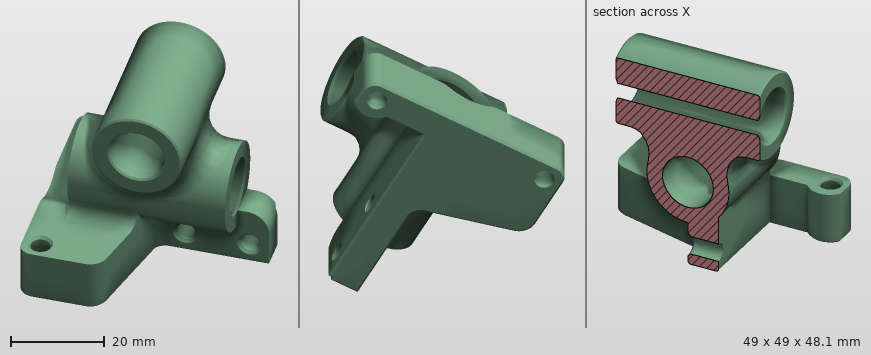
import cadquery as cq
import math

tube_radius = 10.0
tube_length = 35.0
bore_diameter = 12.2
bore_mouth_diameter = 13.0
tube_overlap = 2.0
tube_end_chamfer = 0.4
tube_blend_radius = 6.0
tube_half = tube_length / 2
lower_axis_z = 20.1
upper_axis_z = lower_axis_z + 2 * tube_radius - tube_overlap

base_size = 49.0
base_half = base_size / 2
base_height = 12.0
corner_radius = 3.0
bottom_chamfer = 0.5
slant_angle = 14.5
slant_foot_x = 0.0
slant_corner_radius = 4.0
slant_root_radius = 3.0

flange_thickness = 7.5
flange_top_z = 13.6
flange_corner_radius = 5.0
flange_notch_x = 0.65
flange_notch_y = 1.0

hole_inset = 4.0
lobe_radius = 5.0
vertical_hole_diameter = 4.3
flange_hole_diameter = 4.2
hole_mouth_diameter = 5.5
flange_hole_z = 4.75
flange_hole_middle_x = 13.0
flange_hole_spacing = 14.3

saddle_edge_radius = 4.0
web_radius = 3.0


def plan_outline_block(height):
    """Extrude the base outline, without the hole lobe, from Z = 0."""
    slant_shift = base_half * math.tan(math.radians(slant_angle))
    outline = [
        (-base_half, -base_half),
        (slant_foot_x - slant_shift, -base_half),
        (slant_foot_x, 0),
        (base_half, 0),
        (base_half, flange_thickness),
        (-tube_half, flange_thickness),
        (-tube_half, base_half),
        (-base_half, base_half),
    ]

    def round_corner(block, x, y, radius):
        near = 0.01
        corner = cq.selectors.BoxSelector(
            (x - near, y - near, -near), (x + near, y + near, height + near)
        )
        return block.edges("|Z").edges(corner).fillet(radius)

    block = cq.Workplane("XY").polyline(outline).close().extrude(height)
    block = round_corner(block, *outline[0], corner_radius)
    block = round_corner(block, *outline[1], slant_corner_radius)
    block = round_corner(block, *outline[2], slant_root_radius)
    return round_corner(block, *outline[-1], corner_radius)


def make_base():
    """Base block and flange, chamfered around the bottom."""
    hole_x = -base_half + hole_inset
    hole_y = base_half - hole_inset
    lobe = cq.Workplane("XY").center(hole_x, hole_y).circle(lobe_radius).extrude(base_height)
    lobe_limit = (
        cq.Workplane("XY")
        .box(lobe_radius, lobe_radius + hole_inset, base_height, centered=False)
        .translate((hole_x, hole_y - lobe_radius, 0))
    )
    block = plan_outline_block(base_height).union(lobe.intersect(lobe_limit))

    flange = (
        cq.Workplane("XY")
        .box(base_half + tube_half, flange_thickness, flange_top_z, centered=False)
        .translate((-tube_half, 0, 0))
    )
    base = block.union(flange)
    base = base.faces(">X").edges(">Z").fillet(flange_corner_radius)
    notch = (
        cq.Workplane("XY")
        .box(flange_notch_x, flange_notch_y, flange_top_z, centered=False)
        .translate((base_half - flange_notch_x, flange_thickness - flange_notch_y, 0))
    )
    return base.cut(notch).faces("<Z").edges().chamfer(bottom_chamfer)


def cut_saddle(base):
    """Cut the tube clearance into the side bar, with rounded upper edges."""
    drop = lower_axis_z - base_height
    edge_y = math.sqrt((tube_radius + saddle_edge_radius) ** 2 - (drop + saddle_edge_radius) ** 2)
    reach = tube_radius / (tube_radius + saddle_edge_radius)
    tangent_y = edge_y * reach
    tangent_z = lower_axis_z - (drop + saddle_edge_radius) * reach
    saddle = (
        cq.Workplane("YZ", origin=(-base_half, 0, 0))
        .moveTo(-edge_y, base_height)
        .radiusArc((-tangent_y, tangent_z), saddle_edge_radius)
        .threePointArc((0, lower_axis_z - tube_radius), (tangent_y, tangent_z))
        .radiusArc((edge_y, base_height), saddle_edge_radius)
        .close()
        .extrude(base_half - tube_half)
    )
    return base.cut(saddle)


def make_web():
    """Web on the -Y side, blending the lower tube into the base with a concave arc."""
    drop = lower_axis_z - base_height
    foot_y = math.sqrt((tube_radius + web_radius) ** 2 - (drop - web_radius) ** 2)
    reach = tube_radius / (tube_radius + web_radius)
    tangent_y = foot_y * reach
    tangent_z = lower_axis_z - (drop - web_radius) * reach
    web = (
        cq.Workplane("YZ", origin=(-tube_half, 0, 0))
        .moveTo(-foot_y, base_height)
        .radiusArc((-tangent_y, tangent_z), -web_radius)
        .lineTo(0, lower_axis_z)
        .lineTo(0, base_height)
        .close()
        .extrude(tube_length)
    )
    return web.intersect(plan_outline_block(lower_axis_z))


def make_tubes():
    """Crossed solid tubes joined by a rolling-ball blend."""
    lower_plane = cq.Workplane("YZ", origin=(-tube_half, 0, lower_axis_z))
    lower = lower_plane.circle(tube_radius).extrude(tube_length)
    upper_plane = cq.Workplane("XZ", origin=(0, tube_half, upper_axis_z))
    upper = upper_plane.circle(tube_radius).extrude(tube_length)
    upper = upper.faces("<Y or >Y").edges().chamfer(tube_end_chamfer)
    middle_z = (lower_axis_z + upper_axis_z) / 2
    joint = cq.selectors.BoxSelector(
        (-tube_radius, -tube_radius, middle_z - tube_overlap),
        (tube_radius, tube_radius, middle_z + tube_overlap),
    )
    return lower.union(upper).edges(joint).fillet(tube_blend_radius)


def hole_cutter(diameter, mouth_diameter, length):
    """Through-hole cutter rising from Z = 0, with a 45 degree flare at its lower end."""
    flare = (mouth_diameter - diameter) / 2
    mouth = cq.Solid.makeCone(mouth_diameter / 2, diameter / 2, flare)
    return cq.Workplane("XY").circle(diameter / 2).extrude(length).union(cq.Workplane(mouth))


def along_x(cutter):
    return cutter.rotate((0, 0, 0), (0, 1, 0), 90)


def along_y(cutter):
    return cutter.rotate((0, 0, 0), (1, 0, 0), -90)


def cut_bores(part):
    """Cut the bearing bores, each flared at both ends."""
    half_bore = hole_cutter(bore_diameter, bore_mouth_diameter, tube_half).translate((0, 0, -tube_half))
    bore = half_bore.union(half_bore.mirror("XY"))
    part = part.cut(along_x(bore).translate((0, 0, lower_axis_z)))
    return part.cut(along_y(bore).translate((0, 0, upper_axis_z)))


def cut_screw_holes(part):
    """Cut two vertical holes, flared at the top, and two flange holes, flared at the -Y face."""
    vertical_hole = hole_cutter(vertical_hole_diameter, hole_mouth_diameter, base_height)
    vertical_hole = vertical_hole.mirror("XY").translate((0, 0, base_height))
    flange_hole = along_y(hole_cutter(flange_hole_diameter, hole_mouth_diameter, flange_thickness))
    for side in (-1, 1):
        vertical_hole_y = side * (base_half - hole_inset)
        part = part.cut(vertical_hole.translate((-base_half + hole_inset, vertical_hole_y, 0)))
        flange_hole_x = flange_hole_middle_x + side * flange_hole_spacing / 2
        part = part.cut(flange_hole.translate((flange_hole_x, 0, flange_hole_z)))
    return part


base = cut_saddle(make_base())
body = make_tubes().union(base).union(make_web())
result = cut_screw_holes(cut_bores(body))